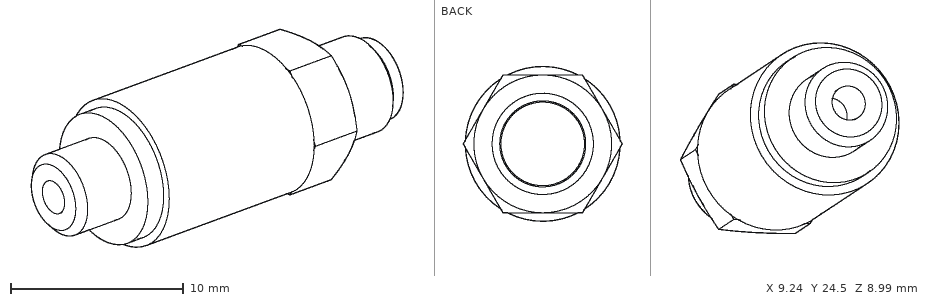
import cadquery as cq
import math

total_length = 24.5
tip_end = 3.8
collar_end = 5.0
body_end = 16.0
hex_end = 19.5
neck_end = 23.3
rear_cone_end = 23.7

tip_radius = 2.5
collar_radius = 4.0
body_radius = 4.495
neck_radius = 2.95
rear_radius = 2.5

tip_chamfer = 0.5
rear_edge_chamfer = 0.07
hex_across_flats = 8.0
hex_chamfer_angle = 30.0
bore_radius = 1.0
bore_depth = 3.8


def revolve_profile(points):
    """Revolve a (radius, y) outline about the Y axis."""
    return cq.Workplane("XY").polyline(points).close().revolve(360, (0, 0, 0), (0, 1, 0))


def turned_body():
    return revolve_profile([
        (0, 0),
        (tip_radius - tip_chamfer, 0),
        (tip_radius, tip_chamfer),
        (tip_radius, tip_end),
        (collar_radius, tip_end),
        (collar_radius, collar_end),
        (body_radius, collar_end),
        (body_radius, body_end),
        (neck_radius, body_end),
        (neck_radius, neck_end),
        (rear_radius, rear_cone_end),
        (rear_radius, total_length - rear_edge_chamfer),
        (rear_radius - rear_edge_chamfer, total_length),
        (0, total_length),
    ])


def hexagon():
    """Hexagon with corners on +X and -X, its rear corners cut by a cone."""
    corner_radius = hex_across_flats / 2 / math.cos(math.radians(30))
    corner_drop = (corner_radius - hex_across_flats / 2) * math.tan(math.radians(hex_chamfer_angle))
    prism = (
        cq.Workplane("XZ", origin=(0, body_end, 0))
        .polygon(6, 2 * corner_radius)
        .extrude(body_end - hex_end)
    )
    envelope = revolve_profile([
        (0, body_end),
        (corner_radius, body_end),
        (corner_radius, hex_end - corner_drop),
        (hex_across_flats / 2, hex_end),
        (0, hex_end),
    ])
    return prism.intersect(envelope)


def front_bore():
    return cq.Workplane("XZ").circle(bore_radius).extrude(-bore_depth)


result = turned_body().union(hexagon()).cut(front_bore())